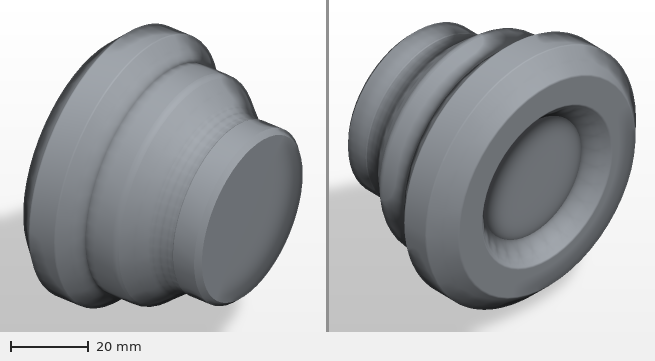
import cadquery as cq
import math


HUB_RADIUS = 64.0 / 2

DISC_RADIUS = 37.7
DISC_WIDTH = 20.1
BACK_RIM = 14.0
FRONT_BEVEL = 6.0
BACK_BEVEL = DISC_RADIUS - HUB_RADIUS
FACE_ROUND = 0.75
RIM_ROUND = 0.6

RECESS_MOUTH_RADIUS = 23.2
RECESS_FLOOR_RADIUS = 17.6
RECESS_DEPTH = RECESS_MOUTH_RADIUS - RECESS_FLOOR_RADIUS

NECK_RADIUS = 48.6 / 2
END_RADIUS = 49.0 / 2
TAPER_START = 28.9
TAPER_END = 38.0
SHOULDER_ROUND = 2.8
NECK_ROUND = 8.05
STEP_START = 41.7
STEP_LENGTH = 0.3
TOTAL_LENGTH = 49.95
END_CHAMFER = 1.4


def revolve_about_x(profile):
    return profile.close().revolve(360, (0, 0, 0), (1, 0, 0))


def make_disc():
    blank = revolve_about_x(
        cq.Workplane("XY")
        .moveTo(0, 0)
        .lineTo(0, DISC_RADIUS - FRONT_BEVEL)
        .lineTo(FRONT_BEVEL, DISC_RADIUS)
        .lineTo(BACK_RIM, DISC_RADIUS)
        .lineTo(BACK_RIM + BACK_BEVEL, HUB_RADIUS)
        .lineTo(DISC_WIDTH, HUB_RADIUS)
        .lineTo(DISC_WIDTH, 0)
    )
    recess = revolve_about_x(
        cq.Workplane("XY")
        .moveTo(0, 0)
        .lineTo(0, RECESS_MOUTH_RADIUS)
        .lineTo(RECESS_DEPTH, RECESS_FLOOR_RADIUS)
        .lineTo(RECESS_DEPTH, 0)
    )
    face_rounded = blank.faces("<X").edges().fillet(FACE_ROUND)
    rim_edges = cq.selectors.RadiusNthSelector(-1)
    rounded_blank = face_rounded.edges(rim_edges).fillet(RIM_ROUND)
    recessed = rounded_blank.cut(recess)
    return recessed.faces("<X").edges(cq.selectors.RadiusNthSelector(0)).fillet(FACE_ROUND)


def make_hub():
    taper_angle = math.atan2(HUB_RADIUS - NECK_RADIUS, TAPER_END - TAPER_START)

    def rounded_corner(x, radius, rounding, side):
        """Start, middle and end of the arc; side is 1 on the outer corner, -1 on the inner."""
        tangent = rounding * math.tan(taper_angle / 2)
        along_x = tangent * math.cos(taper_angle)
        drop = tangent * math.sin(taper_angle)
        outer = (x - side * tangent, radius)
        middle = (
            outer[0] + side * rounding * math.sin(taper_angle / 2),
            radius - side * rounding * (1 - math.cos(taper_angle / 2)),
        )
        sloped = (x + side * along_x, radius - side * drop)
        return outer, middle, sloped

    shoulder_start, shoulder_middle, shoulder_end = rounded_corner(
        TAPER_START, HUB_RADIUS, SHOULDER_ROUND, 1
    )
    neck_end, neck_middle, neck_start = rounded_corner(TAPER_END, NECK_RADIUS, NECK_ROUND, -1)
    return revolve_about_x(
        cq.Workplane("XY")
        .moveTo(DISC_WIDTH, 0)
        .lineTo(DISC_WIDTH, HUB_RADIUS)
        .lineTo(*shoulder_start)
        .threePointArc(shoulder_middle, shoulder_end)
        .lineTo(*neck_start)
        .threePointArc(neck_middle, neck_end)
        .lineTo(STEP_START, NECK_RADIUS)
        .lineTo(STEP_START + STEP_LENGTH, END_RADIUS)
        .lineTo(TOTAL_LENGTH - END_CHAMFER, END_RADIUS)
        .lineTo(TOTAL_LENGTH, END_RADIUS - END_CHAMFER)
        .lineTo(TOTAL_LENGTH, 0)
    )


disc = make_disc()
hub = make_hub()
result = cq.Compound.makeCompound([disc.val(), hub.val()])